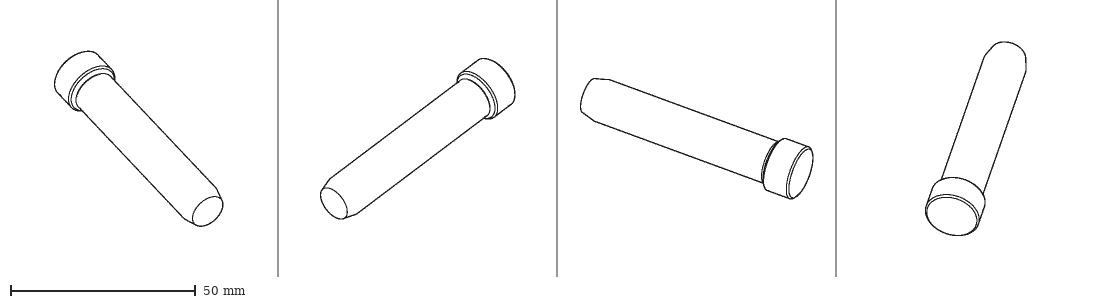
import cadquery as cq
import math

total_length = 65.0
head_diameter = 15.0
head_length = 8.0
head_chamfer = 0.5
shank_diameter = 12.0
groove_width = 0.9
groove_depth = 0.5
tip_length = 4.0
tip_half_angle = 15.0

head_radius = head_diameter / 2
shank_radius = shank_diameter / 2
groove_round = groove_width / 2
groove_floor_radius = shank_radius - groove_depth
groove_wall_foot = groove_floor_radius + groove_round
groove_end = head_length + groove_width
tip_radius = shank_radius - tip_length * math.tan(math.radians(tip_half_angle))


def make_head():
    """Cylindrical head with both rims chamfered."""
    head = cq.Workplane("YZ").circle(head_radius).extrude(head_length)
    return head.edges().chamfer(head_chamfer)


def make_shank():
    """Shank with a round-bottomed relief groove under the head and a conical tip."""
    profile = (
        cq.Workplane("XY")
        .moveTo(head_length / 2, 0)
        .lineTo(head_length / 2, shank_radius)
        .lineTo(head_length, shank_radius)
        .lineTo(head_length, groove_wall_foot)
        .threePointArc((head_length + groove_round, groove_floor_radius), (groove_end, groove_wall_foot))
        .lineTo(groove_end, shank_radius)
        .lineTo(total_length - tip_length, shank_radius)
        .lineTo(total_length, tip_radius)
        .lineTo(total_length, 0)
        .close()
    )
    return profile.revolve(360, (0, 0, 0), (1, 0, 0))


result = make_head().union(make_shank())